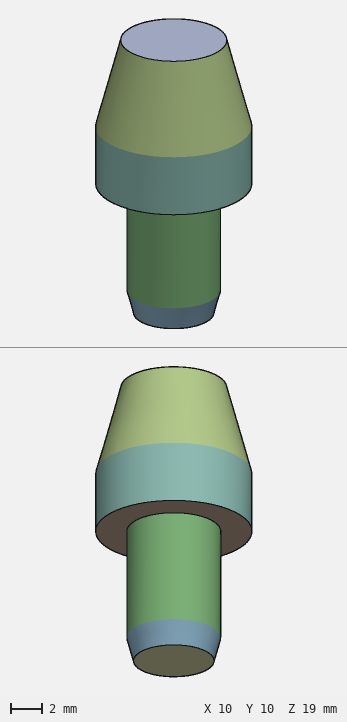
import cadquery as cq
import math

total_height = 19.0
head_diameter = 10.0
shank_diameter = 6.0
shank_length = 9.0
nose_height = 6.0
tip_height = 1.6
taper_angle = 15.0

taper_slope = math.tan(math.radians(taper_angle))
head_radius = head_diameter / 2
shank_radius = shank_diameter / 2
nose_end_radius = head_radius - nose_height * taper_slope
tip_end_radius = shank_radius - tip_height * taper_slope
nose_start = total_height - nose_height

profile = (
    cq.Workplane("XZ")
    .moveTo(0, 0)
    .lineTo(tip_end_radius, 0)
    .lineTo(shank_radius, tip_height)
    .lineTo(shank_radius, shank_length)
    .lineTo(head_radius, shank_length)
    .lineTo(head_radius, nose_start)
    .lineTo(nose_end_radius, total_height)
    .lineTo(0, total_height)
    .close()
)

result = profile.revolve(360, (0, 0, 0), (0, 1, 0))